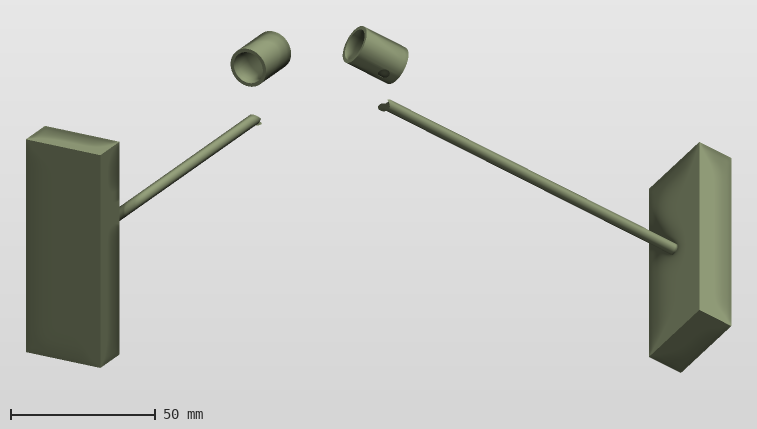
import cadquery as cq

total_length = 150.9
block_width = 29.5
block_depth = 13.7
block_height = 79.8

rod_diameter = 4.0
rod_radius = rod_diameter / 2

sleeve_length = 18.0
sleeve_outer_diameter = 14.0
sleeve_bore_diameter = 11.5
sleeve_rise = 20.8
post_setback = 12.5

post_y = total_length - post_setback


def cylinder_along_y(diameter, start_y, length, z=0):
    """Round bar parallel to Y, centred on X = 0."""
    start = cq.Vector(0, start_y, z)
    return cq.Workplane(cq.Solid.makeCylinder(diameter / 2, length, start, cq.Vector(0, 1, 0)))


block = cq.Workplane("XY").box(block_width, block_depth, block_height, centered=(True, False, True))

rod = cylinder_along_y(rod_diameter, block_depth, post_y - block_depth)

post_height = sleeve_rise + rod_radius
post = (
    cq.Workplane("XY", origin=(0, post_y, -rod_radius))
    .circle(rod_radius)
    .extrude(post_height)
)

sleeve_start = total_length - sleeve_length
sleeve = cylinder_along_y(sleeve_outer_diameter, sleeve_start, sleeve_length, sleeve_rise)
bore = cylinder_along_y(sleeve_bore_diameter, sleeve_start, sleeve_length, sleeve_rise)

result = block.union(rod).union(post).union(sleeve).cut(bore)